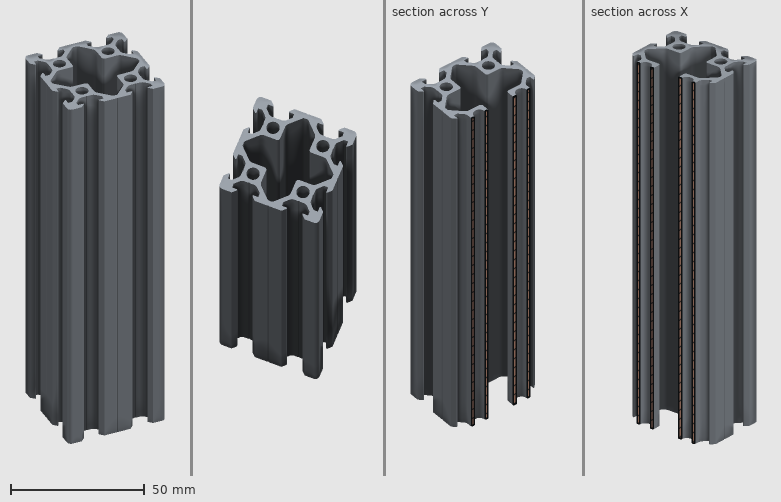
import cadquery as cq

side = 40.0
length = 150.0
half_side = side / 2
mid_length = length / 2
corner_radius = 1.6

cell_center = side / 4
bore_diameter = 5.0
core_half_width = 4.0

mouth_half_width = 4.6
throat_half_width = 3.2
chamber_half_width = 5.2
floor_half_width = 2.8
floor_radius = 2.2
lip_thickness = 2.0
mouth_level = half_side
flare_level = mouth_level - (mouth_half_width - throat_half_width)
lip_level = mouth_level - lip_thickness
floor_level = cell_center + core_half_width
chamber_level = floor_level + (chamber_half_width - floor_half_width)

mark_half_width = 0.3
mark_depth = 0.22

side_wall = 2.1
arm_reach = half_side - side_wall
arm_half_width = cell_center - core_half_width
arm_tip_half_width = 0.9
arm_shoulder = arm_reach - (arm_half_width - arm_tip_half_width)
core_corner_radius = 1.0
shoulder_radius = 2.4
arm_tip_radius = 0.9

level_tolerance = 0.2


def symmetric_prism(right_half, center):
    """Full-length prism whose outline mirrors (offset, y) points about x = center."""
    right = [(center + offset, y) for offset, y in right_half]
    left = [(center - offset, y) for offset, y in reversed(right_half)]
    return cq.Workplane("XY").polyline(right + left).close().extrude(length)


def edges_at_level(center, level):
    """Selector for the upright edges at y = level, within a cell's width of x = center."""
    return cq.selectors.BoxSelector(
        (center - cell_center, level - level_tolerance, mid_length - level_tolerance),
        (center + cell_center, level + level_tolerance, mid_length + level_tolerance),
    )


def mark_groove(center, level):
    """V-groove sunk below a surface at y = level."""
    outline = [
        (center - mark_half_width, level),
        (center, level - mark_depth),
        (center + mark_half_width, level),
    ]
    return cq.Workplane("XY").polyline(outline).close().extrude(length)


def v_slot(center):
    """Slot opening on the +Y side, with the marking groove in its floor."""
    slot = symmetric_prism(
        [
            (mouth_half_width, mouth_level),
            (throat_half_width, flare_level),
            (throat_half_width, lip_level),
            (chamber_half_width, lip_level),
            (chamber_half_width, chamber_level),
            (floor_half_width, floor_level),
        ],
        center,
    )
    slot = slot.edges(edges_at_level(center, floor_level)).fillet(floor_radius)
    return slot.union(mark_groove(center, floor_level))


def cavity_arm():
    """Arm of the central cavity that reaches from the middle towards +Y."""
    arm = symmetric_prism(
        [
            (arm_half_width, 0),
            (arm_half_width, arm_shoulder),
            (arm_tip_half_width, arm_reach),
        ],
        0,
    )
    arm = arm.edges(edges_at_level(0, arm_shoulder)).fillet(shoulder_radius)
    return arm.edges(edges_at_level(0, arm_reach)).fillet(arm_tip_radius)


def quarter_turn(shape, turn):
    """Shape turned about the bar axis by a number of quarter turns."""
    return shape.rotate((0, 0, 0), (0, 0, 1), 90 * turn)


bar = cq.Workplane("XY").rect(side, side).extrude(length).edges("|Z").fillet(corner_radius)

cavity = cavity_arm()
for turn in range(1, 4):
    cavity = cavity.union(quarter_turn(cavity_arm(), turn))
for y_level in (-arm_half_width, arm_half_width):
    cavity = cavity.edges(edges_at_level(0, y_level)).fillet(core_corner_radius)
result = bar.cut(cavity)

side_cuts = [v_slot(-cell_center), v_slot(cell_center), mark_groove(0, half_side)]
for turn in range(4):
    for side_cut in side_cuts:
        result = result.cut(quarter_turn(side_cut, turn))

bores = cq.Workplane("XY").rarray(2 * cell_center, 2 * cell_center, 2, 2)
result = result.cut(bores.circle(bore_diameter / 2).extrude(length))